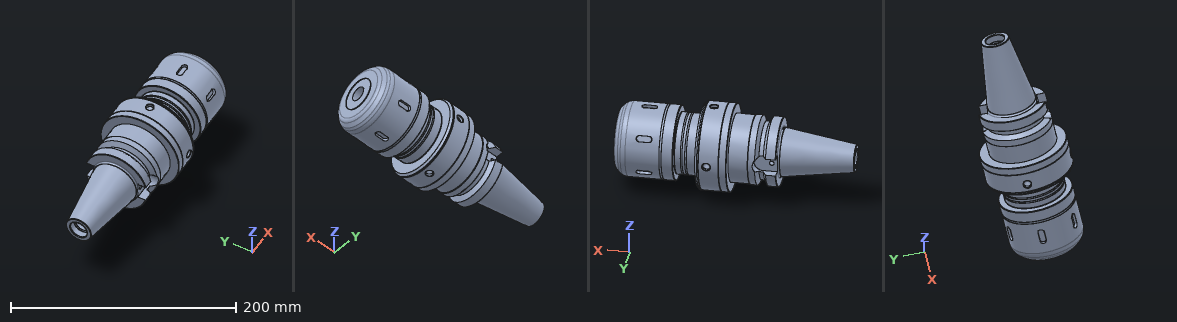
import math

import cadquery as cq


CUT_CLEARANCE = 1.0

TAPER_LENGTH = 65.4
GAUGE_RADIUS = 44.45 / 2
TAPER_RATIO = 7 / 24 / 2
TAPER_TIP_RADIUS = GAUGE_RADIUS - TAPER_LENGTH * TAPER_RATIO
TIP_CHAMFER_LENGTH = 0.6
TIP_CHAMFER_DEPTH = 0.3
NECK_RADIUS = 21.8
NECK_START = 0.2
NECK_FILLET = 1.5

FLANGE_START = 2.0
FLANGE_RADIUS = 63 / 2
FLANGE_CHAMFER = 0.5
FLANGE_END = 27.6
GROOVE_CENTER = 16.1
GROOVE_ROOT_WIDTH = 3.9
GROOVE_ROOT_RADIUS = 26.4
GROOVE_FLANK_ANGLE = 30
FLANK_LENGTH = (FLANGE_RADIUS - GROOVE_ROOT_RADIUS) * math.tan(math.radians(GROOVE_FLANK_ANGLE))

DRIVE_SLOT_WIDTH = 16.1
DRIVE_SLOT_FLOOR = 22.4
DRIVE_SLOT_CENTER = 15.0
COOLANT_HOLE_DIAMETER = 4.0
COOLANT_HOLE_X = 7.0

BODY_RADIUS = 31.0
COLLAR_START = 45.0
COLLAR_END = 73.8
COLLAR_RADIUS = 80 / 2
COLLAR_FRONT_CHAMFER = 2.0
COLLAR_REAR_CHAMFER = 0.5
COLLAR_LINES = (52.1, 70.4)
COLLAR_LINE_WIDTH = 0.5
COLLAR_LINE_DEPTH = 0.1
COLLAR_HOLE_DIAMETER = 6.93
COLLAR_HOLE_MOUTH_DIAMETER = 8.0
COLLAR_HOLE_X = 63.1
COLLAR_HOLE_DEPTH = 3.0
COLLAR_HOLE_COUNT = 4
DRILL_POINT_ANGLE = 118

STEM_RADIUS = 56 / 2
STEM_GROOVE_RADIUS = 55.6 / 2
STEM_RELIEF_WIDTH = 0.6
STEM_GROOVES = (83.9, 87.8)
STEM_GROOVE_WIDTH = 1.5

NUT_START = 94.4
NUT_RADIUS = 68 / 2
NUT_CHAMFER = 0.6
NUT_GROOVE_START = 104.8
NUT_GROOVE_WIDTH = 2.0
NUT_GROOVE_DEPTH = 0.3
NOSE_START = 137.4
NOSE_ARC_MIDDLE = (139.7, 33.8)
NOSE_ARC_END = (141.9, 33.2)
NOSE_CONE_START = (144.5, 31.8)
NOSE_CONE_END = (147.8, 28.5)
NOSE_EDGE_RADIUS = 5.5
SLEEVE_RADIUS = 32 / 2
CHUCK_END = 150.0

SPANNER_SLOT_COUNT = 6
SPANNER_SLOT_X = 121.1
SPANNER_SLOT_LENGTH = 14.0
SPANNER_SLOT_WIDTH = 5.6
SPANNER_SLOT_DEPTH = 3.0

BORE_DIAMETER = 14.25
COUNTERBORE_DIAMETER = 17.0
COUNTERBORE_DEPTH = 7.0
STEP_CHAMFER_DIAMETER = 16.0
MOUTH_DIAMETER = 18.0
MOUTH_DEPTH = 0.9


def turned_body():
    """Outer shape of the chuck, revolved about X."""
    root_half = GROOVE_ROOT_WIDTH / 2
    rim_half = root_half + FLANK_LENGTH
    fillet_middle = NECK_FILLET * (1 - math.sqrt(0.5))
    edge_start = math.radians(45)
    edge_center_x = NOSE_CONE_END[0] - NOSE_EDGE_RADIUS * math.cos(edge_start)
    edge_center_radius = NOSE_CONE_END[1] - NOSE_EDGE_RADIUS * math.sin(edge_start)
    nut_end = edge_center_x + NOSE_EDGE_RADIUS
    edge_middle = (
        edge_center_x + NOSE_EDGE_RADIUS * math.cos(edge_start / 2),
        edge_center_radius + NOSE_EDGE_RADIUS * math.sin(edge_start / 2),
    )
    profile = (
        cq.Workplane("XY")
        .moveTo(-TAPER_LENGTH, 0)
        .lineTo(-TAPER_LENGTH, TAPER_TIP_RADIUS - TIP_CHAMFER_DEPTH)
        .lineTo(-TAPER_LENGTH + TIP_CHAMFER_LENGTH, TAPER_TIP_RADIUS + TIP_CHAMFER_LENGTH * TAPER_RATIO)
        .lineTo(0, GAUGE_RADIUS)
        .lineTo(NECK_START, NECK_RADIUS)
        .lineTo(FLANGE_START - NECK_FILLET, NECK_RADIUS)
        .threePointArc(
            (FLANGE_START - fillet_middle, NECK_RADIUS + fillet_middle),
            (FLANGE_START, NECK_RADIUS + NECK_FILLET),
        )
        .lineTo(FLANGE_START, FLANGE_RADIUS - FLANGE_CHAMFER)
        .lineTo(FLANGE_START + FLANGE_CHAMFER, FLANGE_RADIUS)
        .lineTo(GROOVE_CENTER - rim_half, FLANGE_RADIUS)
        .lineTo(GROOVE_CENTER - root_half, GROOVE_ROOT_RADIUS)
        .lineTo(GROOVE_CENTER + root_half, GROOVE_ROOT_RADIUS)
        .lineTo(GROOVE_CENTER + rim_half, FLANGE_RADIUS)
        .lineTo(FLANGE_END - (FLANGE_RADIUS - BODY_RADIUS), FLANGE_RADIUS)
        .lineTo(FLANGE_END, BODY_RADIUS)
        .lineTo(COLLAR_START, BODY_RADIUS)
        .lineTo(COLLAR_START, COLLAR_RADIUS - COLLAR_REAR_CHAMFER)
        .lineTo(COLLAR_START + COLLAR_REAR_CHAMFER, COLLAR_RADIUS)
        .lineTo(COLLAR_END - COLLAR_FRONT_CHAMFER, COLLAR_RADIUS)
        .lineTo(COLLAR_END, COLLAR_RADIUS - COLLAR_FRONT_CHAMFER)
        .lineTo(COLLAR_END, STEM_RADIUS)
        .lineTo(NUT_START, STEM_RADIUS)
        .lineTo(NUT_START, NUT_RADIUS - NUT_CHAMFER)
        .lineTo(NUT_START + NUT_CHAMFER, NUT_RADIUS)
        .lineTo(NOSE_START, NUT_RADIUS)
        .threePointArc(NOSE_ARC_MIDDLE, NOSE_ARC_END)
        .lineTo(*NOSE_CONE_START)
        .lineTo(*NOSE_CONE_END)
        .threePointArc(edge_middle, (nut_end, edge_center_radius))
        .lineTo(nut_end, SLEEVE_RADIUS)
        .lineTo(CHUCK_END, SLEEVE_RADIUS)
        .lineTo(CHUCK_END, 0)
        .close()
    )
    return profile.revolve(360, (0, 0, 0), (1, 0, 0))


def ring_groove(start, width, inner_radius, outer_radius):
    """Cutter for a square groove running around the axis."""
    return (
        cq.Workplane("YZ", origin=(start, 0, 0))
        .circle(outer_radius + CUT_CLEARANCE)
        .circle(inner_radius)
        .extrude(width)
    )


def cut_ring_grooves(body):
    """Fine grooves on the collar, the stem and the nut."""
    for center in COLLAR_LINES:
        start = center - COLLAR_LINE_WIDTH / 2
        body = body.cut(
            ring_groove(start, COLLAR_LINE_WIDTH, COLLAR_RADIUS - COLLAR_LINE_DEPTH, COLLAR_RADIUS)
        )
    stem_cuts = [(center - STEM_GROOVE_WIDTH / 2, STEM_GROOVE_WIDTH) for center in STEM_GROOVES]
    stem_cuts.append((COLLAR_END, STEM_RELIEF_WIDTH))
    stem_cuts.append((NUT_START - STEM_RELIEF_WIDTH, STEM_RELIEF_WIDTH))
    for start, width in stem_cuts:
        body = body.cut(ring_groove(start, width, STEM_GROOVE_RADIUS, STEM_RADIUS))
    return body.cut(
        ring_groove(NUT_GROOVE_START, NUT_GROOVE_WIDTH, NUT_RADIUS - NUT_GROOVE_DEPTH, NUT_RADIUS)
    )


def drive_slots():
    """Cutters for the two round-ended drive slots, open toward the shank."""
    depth = FLANGE_RADIUS - DRIVE_SLOT_FLOOR + CUT_CLEARANCE
    slot = (
        cq.Workplane("XY", origin=(0, 0, DRIVE_SLOT_FLOOR))
        .center(DRIVE_SLOT_CENTER, 0)
        .circle(DRIVE_SLOT_WIDTH / 2)
        .extrude(depth)
    )
    straight = (
        cq.Workplane("XY", origin=(0, 0, DRIVE_SLOT_FLOOR))
        .center(DRIVE_SLOT_CENTER / 2, 0)
        .rect(DRIVE_SLOT_CENTER, DRIVE_SLOT_WIDTH)
        .extrude(depth)
    )
    slot = slot.union(straight).rotate((0, 0, 0), (1, 0, 0), 90)
    return slot.union(slot.rotate((0, 0, 0), (1, 0, 0), 180))


def coolant_hole():
    """Cutter for the small cross hole joining both drive slots."""
    return (
        cq.Workplane("XZ", origin=(COOLANT_HOLE_X, 0, 0))
        .circle(COOLANT_HOLE_DIAMETER / 2)
        .extrude(FLANGE_RADIUS, both=True)
    )


def collar_hole():
    """Cutter for one chamfered blind hole at the +Z side of the collar."""
    radius = COLLAR_HOLE_DIAMETER / 2
    mouth_radius = COLLAR_HOLE_MOUTH_DIAMETER / 2
    bottom = COLLAR_RADIUS - COLLAR_HOLE_DEPTH
    tip = bottom - radius / math.tan(math.radians(DRILL_POINT_ANGLE / 2))
    chamfer_start = COLLAR_RADIUS - (mouth_radius - radius)
    clear = COLLAR_RADIUS + CUT_CLEARANCE
    return (
        cq.Workplane("XZ")
        .moveTo(0, tip)
        .lineTo(radius, bottom)
        .lineTo(radius, chamfer_start)
        .lineTo(mouth_radius, COLLAR_RADIUS)
        .lineTo(mouth_radius, clear)
        .lineTo(0, clear)
        .close()
        .revolve(360, (0, 0, 0), (0, 1, 0))
        .translate((COLLAR_HOLE_X, 0, 0))
    )


def spanner_slot():
    """Cutter for one flat-bottomed slot at the +Z side of the nut."""
    return (
        cq.Workplane("XY", origin=(SPANNER_SLOT_X, 0, NUT_RADIUS - SPANNER_SLOT_DEPTH))
        .slot2D(SPANNER_SLOT_LENGTH, SPANNER_SLOT_WIDTH)
        .extrude(SPANNER_SLOT_DEPTH + CUT_CLEARANCE)
    )


def cut_around(body, cutter, count):
    """Cut evenly spaced copies of a cutter around the X axis."""
    for index in range(count):
        body = body.cut(cutter.rotate((0, 0, 0), (1, 0, 0), index * 360 / count))
    return body


def bore():
    """Cutter for the through bore with its counterbore and chamfered mouth."""
    bore_radius = BORE_DIAMETER / 2
    counterbore_radius = COUNTERBORE_DIAMETER / 2
    mouth_radius = MOUTH_DIAMETER / 2
    step_radius = STEP_CHAMFER_DIAMETER / 2
    step_chamfer = step_radius - bore_radius
    counterbore_end = COUNTERBORE_DEPTH - TAPER_LENGTH
    return (
        cq.Workplane("XY")
        .moveTo(-TAPER_LENGTH, 0)
        .lineTo(-TAPER_LENGTH, mouth_radius)
        .lineTo(-TAPER_LENGTH + MOUTH_DEPTH, counterbore_radius)
        .lineTo(counterbore_end, counterbore_radius)
        .lineTo(counterbore_end, step_radius)
        .lineTo(counterbore_end + step_chamfer, bore_radius)
        .lineTo(CHUCK_END, bore_radius)
        .lineTo(CHUCK_END, 0)
        .close()
        .revolve(360, (0, 0, 0), (1, 0, 0))
    )


chuck = cut_ring_grooves(turned_body())
chuck = chuck.cut(drive_slots()).cut(coolant_hole())
chuck = cut_around(chuck, collar_hole(), COLLAR_HOLE_COUNT)
chuck = cut_around(chuck, spanner_slot(), SPANNER_SLOT_COUNT)
result = chuck.cut(bore())